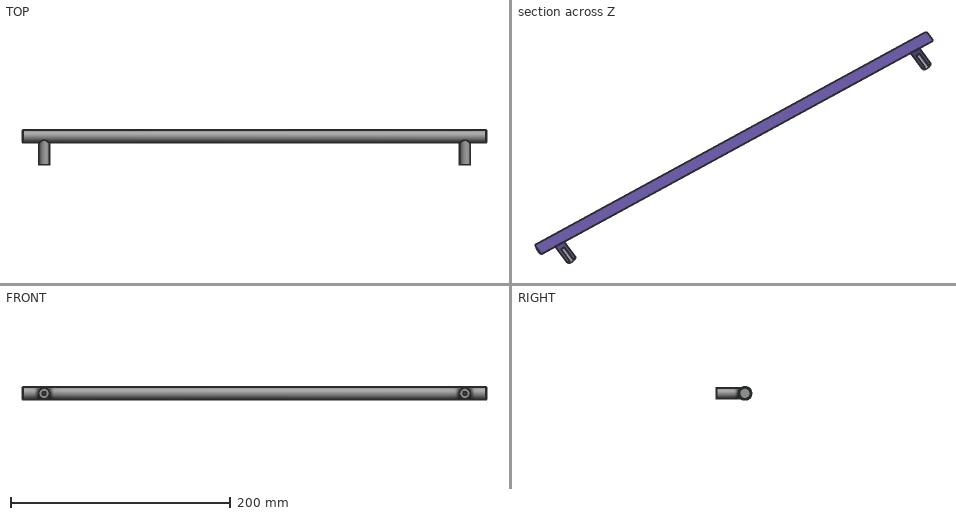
import cadquery as cq

bar_length = 424.0
bar_diameter = 12.0
bar_end_chamfer = 1.0
post_spacing = 384.0
post_diameter = 10.0
overall_depth = 32.0
screw_hole_diameter = 3.3
screw_hole_depth = 15.0

bar_radius = bar_diameter / 2
post_reach = overall_depth - bar_radius


def make_bar():
    """Round grip bar along X, chamfered at both ends."""
    bar = cq.Workplane("YZ", origin=(-bar_length / 2, 0, 0)).circle(bar_radius).extrude(bar_length)
    return bar.faces("<X or >X").chamfer(bar_end_chamfer)


def make_post(x, bar):
    """Standoff post with a blind screw hole in its foot, saddle-cut to sit on the bar."""
    post = cq.Workplane("XZ").center(x, 0).circle(post_diameter / 2).extrude(post_reach)
    post = post.faces("<Y").workplane(centerOption="CenterOfMass")
    post = post.hole(screw_hole_diameter, screw_hole_depth)
    return post.cut(bar)


bar = make_bar()
posts = [make_post(side * post_spacing / 2, bar) for side in (-1, 1)]

result = cq.Compound.makeCompound([bar.val(), *[post.val() for post in posts]])